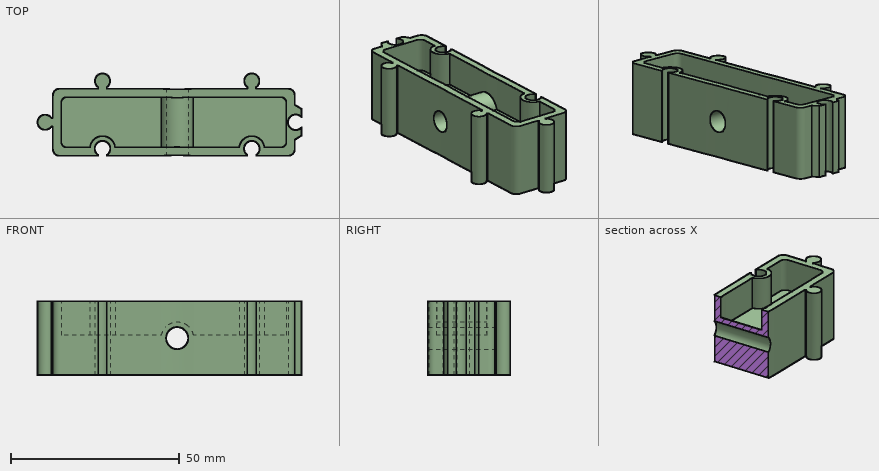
import cadquery as cq

length = 72.0
width = 20.0
height = 22.0
corner_radius = 2.0

wall = 2.5
cavity_corner_radius = 1.75
floor_height = 12.0

pin_radius = 2.28
pin_offset = pin_radius
neck_width = 2.6
middle_x = 37.0
connector_pitch = 44.4
connector_xs = [middle_x + side * connector_pitch / 2 for side in (-1, 1)]
end_connector_y = width / 2
socket_depth = 2.15
socket_wall_radius = 3.75

pad_reach = 2.0
pad_base_width = 10.4
pad_face_width = 8.0
pad_face_x = length + pad_reach
end_socket_depth = 1.74

bore_diameter = 6.5
tube_diameter = 9.7
tube_z = height / 2

bow_depth = 0.15


def vertical_cylinder(x, y, radius):
    return cq.Workplane("XY").center(x, y).circle(radius).extrude(height)


def vertical_bar(x, y, size_x, size_y):
    return cq.Workplane("XY").center(x, y).rect(size_x, size_y).extrude(height)


def cross_cylinder(diameter):
    """Cylinder along Y through the full width, on the tube axis."""
    plane = cq.Workplane("XZ", origin=(middle_x, 0, tube_z))
    return plane.circle(diameter / 2).extrude(-width)


def make_cavity():
    """Rounded pocket, less the walls round the front sockets and the cross tube."""
    cavity = (
        cq.Workplane("XY", origin=(length / 2, width / 2, floor_height))
        .rect(length - 2 * wall, width - 2 * wall)
        .extrude(height - floor_height)
        .edges("|Z")
        .fillet(cavity_corner_radius)
    )
    for x in connector_xs:
        cavity = cavity.cut(vertical_cylinder(x, socket_depth, socket_wall_radius))
    return cavity.cut(cross_cylinder(tube_diameter))


def make_pad():
    """Tapered pad on the right end, rooted in the end wall."""
    root_x = length - wall
    half_base = pad_base_width / 2
    half_face = pad_face_width / 2
    return (
        cq.Workplane("XY", origin=(0, end_connector_y, 0))
        .moveTo(root_x, -half_base)
        .lineTo(length, -half_base)
        .lineTo(pad_face_x, -half_face)
        .lineTo(pad_face_x, half_face)
        .lineTo(length, half_base)
        .lineTo(root_x, half_base)
        .close()
        .extrude(height)
    )


def bowed_strip(chord_y, inward):
    """Full-height sliver between a tube-wide chord and an arc bowed towards the cavity."""
    half_chord = tube_diameter / 2
    return (
        cq.Workplane("XY")
        .moveTo(middle_x - half_chord, chord_y)
        .threePointArc((middle_x, chord_y + inward * bow_depth), (middle_x + half_chord, chord_y))
        .close()
        .extrude(height)
    )


def bow_long_walls(body):
    """Hollow each long wall outside and swell it inside by the same bow."""
    for outer_y, inward in ((0, 1), (width, -1)):
        body = body.cut(bowed_strip(outer_y, inward))
        body = body.union(bowed_strip(outer_y + inward * wall, inward))
    return body


def add_pins(body):
    """Round pins on narrow necks: two on the back wall, one on the left end."""
    neck_length = 2 * pin_offset
    for x in connector_xs:
        body = body.union(vertical_cylinder(x, width + pin_offset, pin_radius))
        body = body.union(vertical_bar(x, width, neck_width, neck_length))
    body = body.union(vertical_cylinder(-pin_offset, end_connector_y, pin_radius))
    return body.union(vertical_bar(0, end_connector_y, neck_length, neck_width))


def cut_sockets(body):
    """Round sockets with narrow mouths: two in the front wall, one in the right pad."""
    for x in connector_xs:
        body = body.cut(vertical_cylinder(x, socket_depth, pin_radius))
        body = body.cut(vertical_bar(x, 0, neck_width, 2 * socket_depth))
    body = body.cut(vertical_cylinder(pad_face_x - end_socket_depth, end_connector_y, pin_radius))
    return body.cut(vertical_bar(pad_face_x, end_connector_y, 2 * end_socket_depth, neck_width))


block = vertical_bar(length / 2, width / 2, length, width).edges("|Z").fillet(corner_radius)
shell = block.union(make_pad()).cut(make_cavity())
shell = bow_long_walls(shell)
shell = cut_sockets(add_pins(shell))

result = shell.cut(cross_cylinder(bore_diameter))